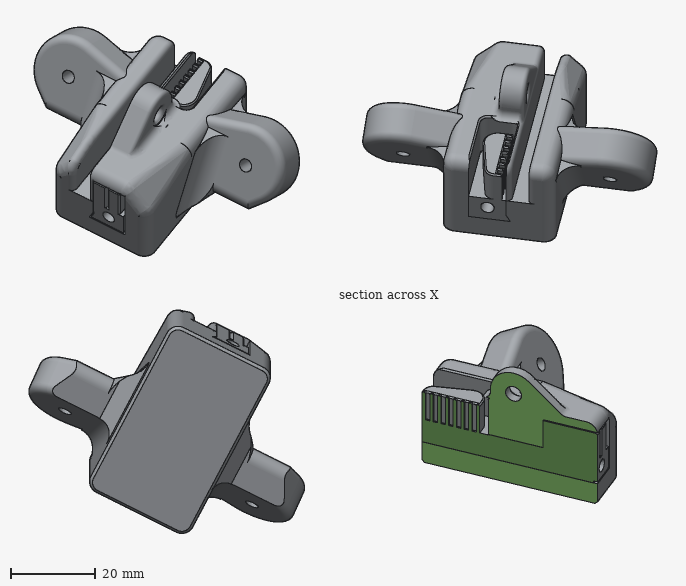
import cadquery as cq
import math

BODY_WIDTH = 27.2
BODY_LENGTH = 45.4
BODY_HEIGHT = 23.0
BODY_ROUND = 3.0
END_ROUND = 2.95
FOOT_CHAMFER = 0.7
HALF_WIDTH = BODY_WIDTH / 2
HALF_LENGTH = BODY_LENGTH / 2
FRONT_Y = -HALF_LENGTH
REAR_Y = HALF_LENGTH

SLOPE_START_Y = -3.5
SLOPE_ANGLE = 13.7
CUT_ANGLE = 45

SLOT_LEFT_X = -7.3
SLOT_RIGHT_X = -3.3
SLOT_FLOOR_Z = 12.45
SLOT_ROUND = 1.4

WING_HOLE_X = 25.0
WING_HOLE_Y = 2.5
WING_HOLE_Z = 17.8
WING_RADIUS = 10.0
WING_THICKNESS = 10.0
WING_TILT = 30
WING_TOP_SLOPE = 15
WING_LOW_CORNER_ANGLE = -45
WING_BOTTOM_Z = 6.3
WING_ROUND = 1.95
PLATE_DROP = 21.0
WING_BOTTOM_ROUND = 3.0
WING_ROOT_X = 8.8
WING_HOLE_DIAMETER = 3.2

FLARE_RADIUS = 5.0
FLARE_ROOT_TOP = 6.7
FLARE_FRONT_TOP = -0.4
FLARE_REAR_TOP = 9.8
FLARE_FOOT_X = 17.55
FLARE_FOOT_Z = 3.6
FLARE_TIP_Y = -9.95
FLARE_TIP_Z = 6.0

LUG_WIDTH = 6.15
LUG_RADIUS = 6.0
LUG_HOLE_Y = -1.0
LUG_HOLE_Z = 25.95
LUG_HOLE_DIAMETER = 4.0
LUG_SLOPE = 40
LUG_ROUND = 1.0
LUG_BASE_ROUND = 1.95
LUG_BURIED = 2.8

CAVITY_LEFT_X = -1.95
CAVITY_RIGHT_X = 7.1
CAVITY_BOTTOM_Z = 5.95
CAVITY_ROOF_Z = 20.5
DOVETAIL_WIDTH = 1.0
DOVETAIL_TOP_Z = 7.9
RECESS_FRONT_Y = 5.6
RECESS_CORNER = 2.0
RECESS_CHAMFER = 0.4

NOSE_LENGTH = 1.0
NOSE_GAP = 0.4
NOSE_SIDE_GAP = 0.2
INSERT_TOP_Z = 20.35
INSERT_CHAMFER = 0.35
INSERT_HOLE_X = 2.5
INSERT_HOLE_Z = 9.6
INSERT_HOLE_DIAMETER = 3.2

UPRIGHT_RIGHT_X = 5.6
UPRIGHT_LENGTH = 14.0
UPRIGHT_CHAMFER = 0.4
GROOVE_X = 2.0
GROOVE_DEPTH = 0.6

CAM_LEFT_X = 0.35
CAM_FRONT_Y = 7.7
CAM_FRONT_RADIUS = 3.5
CAM_CENTER_X = 2.1
CAM_TAPER = 13
CAM_REAR_RADIUS = 2.4
TOOTH_COUNT = 8
TOOTH_PITCH = (REAR_Y - CAM_FRONT_Y) / (TOOTH_COUNT - 0.5)
TOOTH_WIDTH = TOOTH_PITCH / 2
TOOTH_LENGTH = 1.3

REACH = 42.0
MARGIN = 0.1
SLIVER = 0.035


def polar(radius, degrees, center=(0, 0)):
    angle = math.radians(degrees)
    return center[0] + radius * math.cos(angle), center[1] + radius * math.sin(angle)


def tan(degrees):
    return math.tan(math.radians(degrees))


def block_solid(x_min, x_max, y_min, y_max, z_min, z_max):
    return (
        cq.Workplane("XY")
        .box(x_max - x_min, y_max - y_min, z_max - z_min, centered=False)
        .translate((x_min, y_min, z_min))
    )


def sloped_section(y, corner_cut):
    """Wire of the block section at y, its top corners cut at 45 degrees and then rounded."""
    run = BODY_ROUND * tan(CUT_ANGLE / 2)
    side_center = (HALF_WIDTH - BODY_ROUND, BODY_HEIGHT - corner_cut - run)
    top_center = (HALF_WIDTH - corner_cut - run, BODY_HEIGHT - BODY_ROUND)
    right = [polar(BODY_ROUND, angle, side_center) for angle in (0, CUT_ANGLE / 2, CUT_ANGLE)]
    right += [polar(BODY_ROUND, angle, top_center) for angle in (CUT_ANGLE, 1.5 * CUT_ANGLE, 2 * CUT_ANGLE)]
    left = [(-x, z) for x, z in reversed(right)]
    outline = cq.Workplane("XZ", origin=(0, y, 0)).moveTo(-HALF_WIDTH, 0).lineTo(HALF_WIDTH, 0)
    for start, middle, end in (right[:3], right[3:], left[:3], left[3:]):
        outline = outline.lineTo(*start).threePointArc(middle, end)
    return outline.close().wires().val()


def make_block():
    first_cut = BODY_ROUND * (2 - math.sqrt(2)) + SLIVER
    last_cut = first_cut + (SLOPE_START_Y - FRONT_Y) * tan(SLOPE_ANGLE)
    sections = [sloped_section(SLOPE_START_Y, first_cut), sloped_section(FRONT_Y, last_cut)]
    front = cq.Workplane(cq.Solid.makeLoft(sections, True))
    rear = block_solid(-HALF_WIDTH, HALF_WIDTH, SLOPE_START_Y, REAR_Y, 0, BODY_HEIGHT)
    rear = rear.edges("|Y and >Z").fillet(BODY_ROUND)
    block = rear.union(front)
    block = block.faces("<Y or >Y").edges("not <Z").fillet(END_ROUND)
    return block.faces("<Z").edges().chamfer(FOOT_CHAMFER)


WING_NORMAL = cq.Vector(0, -math.cos(math.radians(WING_TILT)), math.sin(math.radians(WING_TILT)))
WING_FACE = cq.Plane((WING_HOLE_X, WING_HOLE_Y, WING_HOLE_Z), xDir=(1, 0, 0), normal=WING_NORMAL)
WING_ROOT = WING_ROOT_X - WING_HOLE_X
FLARE_START = HALF_WIDTH - WING_HOLE_X
FLARE_END = FLARE_START + FLARE_RADIUS


def make_plate():
    """Tilted plate with a round outer end, its outline rounded on both faces."""
    top = polar(WING_RADIUS, 90 + WING_TOP_SLOPE)
    low = polar(WING_RADIUS, WING_LOW_CORNER_ANGLE)
    root_top = top[1] - (top[0] - WING_ROOT) * tan(WING_TOP_SLOPE)
    drop = PLATE_DROP + low[1]
    plate = (
        cq.Workplane(WING_FACE)
        .moveTo(WING_ROOT, root_top)
        .lineTo(*top)
        .threePointArc((WING_RADIUS, 0), low)
        .lineTo(low[0] + drop * tan(WING_LOW_CORNER_ANGLE), -PLATE_DROP)
        .lineTo(WING_ROOT, -PLATE_DROP)
        .close()
        .extrude(-WING_THICKNESS)
    )
    outer = cq.selectors.BoxSelector((WING_ROOT_X + MARGIN, -REACH, 0), (REACH, REACH, REACH))
    both_faces = cq.selectors.ParallelDirSelector(WING_NORMAL)
    return plate.faces(both_faces).edges(outer).fillet(WING_ROUND)


def make_flare():
    """Concave widening of the plate toward the block, cut back along its top."""
    front = FLARE_RADIUS
    rear = -WING_THICKNESS - FLARE_RADIUS
    sag = FLARE_RADIUS * (1 - math.sqrt(0.5))
    sweep = (
        cq.Workplane(WING_FACE.rotated((90, 0, 0)))
        .moveTo(WING_ROOT, front)
        .lineTo(FLARE_START, front)
        .threePointArc((FLARE_START + sag, sag), (FLARE_END, 0))
        .lineTo(FLARE_END, -WING_THICKNESS)
        .threePointArc((FLARE_START + sag, -WING_THICKNESS - sag), (FLARE_START, rear))
        .lineTo(WING_ROOT, rear)
        .close()
        .extrude(REACH, both=True)
    )
    limit = (
        cq.Workplane(WING_FACE.rotated((0, 90, 0)))
        .moveTo(WING_ROUND, FLARE_ROOT_TOP)
        .lineTo(-front, FLARE_FRONT_TOP)
        .lineTo(-front, -REACH)
        .lineTo(-rear, -REACH)
        .lineTo(-rear, FLARE_REAR_TOP)
        .lineTo(WING_THICKNESS - WING_ROUND, FLARE_ROOT_TOP)
        .close()
        .extrude(REACH, both=True)
    )
    return sweep.intersect(limit)


def make_underside_limit():
    """Space above the flat wing bottom and the sloping foot of its flare."""
    return (
        cq.Workplane("XZ")
        .moveTo(WING_ROOT_X, FLARE_FOOT_Z)
        .lineTo(HALF_WIDTH, FLARE_FOOT_Z)
        .lineTo(FLARE_FOOT_X, WING_BOTTOM_Z)
        .lineTo(REACH, WING_BOTTOM_Z)
        .lineTo(REACH, REACH)
        .lineTo(WING_ROOT_X, REACH)
        .close()
        .extrude(REACH, both=True)
    )


def make_lower_edge_limit():
    """Space behind the wing face, with its lower front edge rounded out to the flare tip."""
    radius = WING_BOTTOM_ROUND
    slope = tan(WING_TILT)
    flare_x = WING_HOLE_X + FLARE_END
    center_z = WING_BOTTOM_Z + radius
    touch_z = center_z + radius * math.sin(math.radians(WING_TILT))
    touch_y = WING_HOLE_Y - (WING_HOLE_Z - touch_z) * slope
    center_y = touch_y + radius * math.cos(math.radians(WING_TILT))
    middle = polar(radius, 270 - (90 + WING_TILT) / 2, (center_y, center_z))
    outline = (
        cq.Workplane("YZ", origin=(flare_x, 0, 0))
        .moveTo(touch_y, touch_z)
        .threePointArc(middle, (center_y, WING_BOTTOM_Z))
        .lineTo(REACH, WING_BOTTOM_Z)
        .lineTo(REACH, REACH)
        .lineTo(touch_y + (REACH - touch_z) * slope, REACH)
        .close()
    )
    reach_in = (flare_x - WING_ROOT_X) / FLARE_RADIUS
    tip_move = cq.Vector(-FLARE_RADIUS, FLARE_TIP_Y - touch_y, FLARE_TIP_Z - touch_z)
    inner = cq.Solid.extrudeLinear(outline.wires().val(), [], tip_move * reach_in)
    return outline.extrude(REACH).union(cq.Workplane(inner))


def make_wing():
    wing = make_plate().union(make_flare())
    wing = wing.intersect(make_underside_limit()).intersect(make_lower_edge_limit())
    hole = cq.Workplane(WING_FACE).circle(WING_HOLE_DIAMETER / 2).extrude(-REACH / 2)
    return wing.cut(hole)


def cut_slot(body):
    """Cut the slot through the full length and round its upper and end edges."""
    body = body.cut(block_solid(SLOT_LEFT_X, SLOT_RIGHT_X, -REACH, REACH, SLOT_FLOOR_Z, REACH))
    for wall_x in (SLOT_LEFT_X, SLOT_RIGHT_X):
        lower_corner = (wall_x - MARGIN, -REACH, SLOT_FLOOR_Z + MARGIN)
        upper_corner = (wall_x + MARGIN, REACH, REACH)
        body = body.edges(cq.selectors.BoxSelector(lower_corner, upper_corner)).fillet(SLOT_ROUND)
    return body


LUG_SIDE_X = LUG_WIDTH / 2
LUG_REAR_Y = LUG_HOLE_Y + LUG_RADIUS


def lug_hole(diameter, start_x, length):
    center = cq.Workplane("YZ", origin=(start_x, LUG_HOLE_Y, LUG_HOLE_Z))
    return center.circle(diameter / 2).extrude(length)


def make_lug():
    """Round-topped lug with a sloping front, sunk into the block; its outline and hole are rounded."""
    base_z = BODY_HEIGHT - LUG_BURIED
    center = (LUG_HOLE_Y, LUG_HOLE_Z)
    touch = polar(LUG_RADIUS, 90 + LUG_SLOPE, center)
    foot_y = touch[0] - (touch[1] - base_z) / tan(LUG_SLOPE)
    lug = (
        cq.Workplane("YZ", origin=(-LUG_SIDE_X, 0, 0))
        .moveTo(LUG_REAR_Y, base_z)
        .lineTo(LUG_REAR_Y, LUG_HOLE_Z)
        .threePointArc(polar(LUG_RADIUS, 45 + LUG_SLOPE / 2, center), touch)
        .lineTo(foot_y, base_z)
        .close()
        .extrude(LUG_WIDTH)
        .cut(lug_hole(LUG_HOLE_DIAMETER, -LUG_SIDE_X, LUG_WIDTH))
    )
    above_base = cq.selectors.BoxSelector((-REACH, -REACH, base_z + MARGIN), (REACH, REACH, REACH))
    return lug.faces("<X or >X").edges(above_base).fillet(LUG_ROUND)


def add_lug(body):
    """Join the lug and blend its foot into the roof on the front, right and rear."""
    body = body.union(make_lug())
    lower_corner = (-LUG_SIDE_X / 2, -REACH / 2, BODY_HEIGHT - MARGIN)
    upper_corner = (LUG_SIDE_X + MARGIN, LUG_REAR_Y + MARGIN, BODY_HEIGHT + MARGIN)
    body = body.edges(cq.selectors.BoxSelector(lower_corner, upper_corner)).fillet(LUG_BASE_ROUND)
    mouth = LUG_HOLE_DIAMETER + 2 * LUG_ROUND
    return body.cut(lug_hole(mouth, LUG_SIDE_X, LUG_BASE_ROUND))


def dovetail_bar(y_min, y_max, gap=0.0, side_gap=0.0):
    """Bar with one undercut side, up to the slot floor; the gaps shrink its sides and bottom."""
    left = CAVITY_LEFT_X + side_gap
    foot = left - DOVETAIL_WIDTH * (1 - gap / (DOVETAIL_TOP_Z - CAVITY_BOTTOM_Z))
    right = CAVITY_RIGHT_X - gap
    bottom = CAVITY_BOTTOM_Z + gap
    corners = [
        (foot, bottom),
        (right, bottom),
        (right, SLOT_FLOOR_Z),
        (left, SLOT_FLOOR_Z),
        (left, DOVETAIL_TOP_Z),
    ]
    return cq.Workplane("XZ", origin=(0, y_max, 0)).polyline(corners).close().extrude(y_max - y_min)


def upright_pocket():
    return block_solid(
        CAVITY_LEFT_X, CAVITY_RIGHT_X, FRONT_Y, FRONT_Y + UPRIGHT_LENGTH, SLOT_FLOOR_Z, CAVITY_ROOF_Z
    )


def rear_recess():
    """Recess open at the top and rear, with round front corners and a chamfered rim."""
    recess = block_solid(
        CAVITY_LEFT_X, CAVITY_RIGHT_X, RECESS_FRONT_Y, REACH, SLOT_FLOOR_Z, BODY_HEIGHT
    )
    recess = recess.edges("|Z and <Y").fillet(RECESS_CORNER)
    rim = block_solid(
        CAVITY_LEFT_X - RECESS_CHAMFER,
        CAVITY_RIGHT_X + RECESS_CHAMFER,
        RECESS_FRONT_Y - RECESS_CHAMFER,
        REACH,
        BODY_HEIGHT - RECESS_CHAMFER,
        BODY_HEIGHT,
    )
    rim = rim.edges("|Z and <Y").fillet(RECESS_CORNER + RECESS_CHAMFER)
    rim = rim.faces("<Z").chamfer(RECESS_CHAMFER - SLIVER / 10)
    return recess.union(rim)


def make_housing():
    wing = make_wing()
    housing = make_block().union(wing).union(wing.mirror("YZ"))
    housing = add_lug(cut_slot(housing))
    housing = housing.cut(dovetail_bar(FRONT_Y, REAR_Y))
    return housing.cut(upright_pocket()).cut(rear_recess())


def make_upright():
    """Block at the front of the insert, with chamfered edges and a vertical V groove."""
    upright = block_solid(
        CAVITY_LEFT_X + NOSE_SIDE_GAP,
        UPRIGHT_RIGHT_X,
        FRONT_Y,
        FRONT_Y + UPRIGHT_LENGTH,
        SLOT_FLOOR_Z,
        INSERT_TOP_Z,
    )
    upright = upright.edges(">X and >Z").chamfer(UPRIGHT_CHAMFER)
    upright = upright.faces("<Y").edges("not (<X or <Z)").chamfer(UPRIGHT_CHAMFER)
    groove = (
        cq.Workplane("XY", origin=(GROOVE_X, FRONT_Y, SLOT_FLOOR_Z))
        .polyline([(-GROOVE_DEPTH, 0), (GROOVE_DEPTH, 0), (0, GROOVE_DEPTH)])
        .close()
        .extrude(REACH)
    )
    return upright.cut(groove)


def make_toothed_cam():
    """Tapered cam at the rear of the insert, with a row of teeth along its straight side."""
    front_center = (CAM_CENTER_X, CAM_FRONT_Y + CAM_FRONT_RADIUS)
    front_end = polar(CAM_FRONT_RADIUS, CAM_TAPER, front_center)
    rear_center_y = REAR_Y - CAM_REAR_RADIUS
    rear_rise = CAM_REAR_RADIUS * math.sin(math.radians(CAM_TAPER))
    taper_end_y = rear_center_y + rear_rise
    taper_end_x = front_end[0] - (taper_end_y - front_end[1]) * tan(CAM_TAPER)
    rear_center = (taper_end_x - CAM_REAR_RADIUS * math.cos(math.radians(CAM_TAPER)), rear_center_y)
    cam = (
        cq.Workplane("XY", origin=(0, 0, SLOT_FLOOR_Z))
        .moveTo(CAM_LEFT_X, CAM_FRONT_Y)
        .lineTo(CAM_CENTER_X, CAM_FRONT_Y)
        .threePointArc(polar(CAM_FRONT_RADIUS, (CAM_TAPER - 90) / 2, front_center), front_end)
        .lineTo(taper_end_x, taper_end_y)
        .threePointArc(polar(CAM_REAR_RADIUS, (CAM_TAPER + 90) / 2, rear_center), (rear_center[0], REAR_Y))
        .lineTo(CAM_LEFT_X, REAR_Y)
        .close()
        .extrude(INSERT_TOP_Z - SLOT_FLOOR_Z)
    )
    for index in range(TOOTH_COUNT):
        tooth_y = CAM_FRONT_Y + index * TOOTH_PITCH
        cam = cam.union(
            block_solid(
                CAM_LEFT_X - TOOTH_LENGTH,
                CAM_LEFT_X,
                tooth_y,
                tooth_y + TOOTH_WIDTH,
                SLOT_FLOOR_Z,
                INSERT_TOP_Z,
            )
        )
    return cam.faces(">Z").edges().chamfer(INSERT_CHAMFER)


def make_insert():
    base = dovetail_bar(FRONT_Y + NOSE_LENGTH, REAR_Y)
    nose = dovetail_bar(FRONT_Y, FRONT_Y + NOSE_LENGTH, NOSE_GAP, NOSE_SIDE_GAP)
    hole = (
        cq.Workplane("XZ", origin=(INSERT_HOLE_X, 0, INSERT_HOLE_Z))
        .circle(INSERT_HOLE_DIAMETER / 2)
        .extrude(REACH, both=True)
    )
    return base.union(nose).union(make_upright()).union(make_toothed_cam()).cut(hole)


housing = make_housing()
insert = make_insert()
result = cq.Compound.makeCompound([housing.solids().val(), insert.solids().val()])